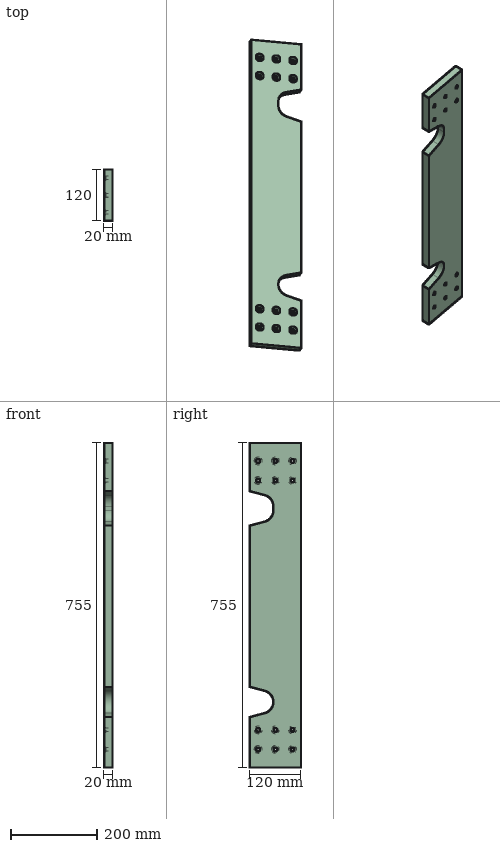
import cadquery as cq
import math

THICKNESS = 20.0
WIDTH = 120.0
LENGTH = 755.0

NOTCH_DEPTH = 55.0
NOTCH_RADIUS = 26.5
NOTCH_END_DISTANCE = 152.5
FLARE_ANGLE = math.radians(15)
UPPER_NOTCH_FLAT = 10.0
LOWER_NOTCH_FLAT = 0.0

HOLE_DIAMETER = 8.0
SINK_DIAMETER = 18.0
SINK_ANGLE = 90
HOLE_PITCH_Y = 40.0
HOLE_PITCH_Z = 45.0
HOLE_END_DISTANCE = 42.0


def notch(center_z, flat):
    """Round-bottomed cutter whose sides flare open towards the -Y edge."""
    edge_y = -WIDTH / 2
    floor_y = edge_y + NOTCH_DEPTH
    arc_y = floor_y - NOTCH_RADIUS
    half_flat = flat / 2
    tangent_y = arc_y + NOTCH_RADIUS * math.sin(FLARE_ANGLE)
    tangent_z = half_flat + NOTCH_RADIUS * math.cos(FLARE_ANGLE)
    mouth_z = tangent_z + (tangent_y - edge_y) * math.tan(FLARE_ANGLE)
    mid_angle = (math.pi / 2 + FLARE_ANGLE) / 2
    mid_y = arc_y + NOTCH_RADIUS * math.sin(mid_angle)
    mid_z = half_flat + NOTCH_RADIUS * math.cos(mid_angle)

    outline = (
        cq.Workplane("YZ", origin=(-THICKNESS / 2, 0, center_z))
        .moveTo(edge_y, -mouth_z)
        .lineTo(tangent_y, -tangent_z)
        .threePointArc((mid_y, -mid_z), (floor_y, -half_flat))
    )
    if flat > 0:
        outline = outline.lineTo(floor_y, half_flat)
    return (
        outline.threePointArc((mid_y, mid_z), (tangent_y, tangent_z))
        .lineTo(edge_y, mouth_z)
        .close()
        .extrude(THICKNESS)
    )


def hole_positions():
    """(Y, Z) centres of the holes at both ends."""
    outer_z = LENGTH / 2 - HOLE_END_DISTANCE
    inner_z = outer_z - HOLE_PITCH_Z
    return [
        (column * HOLE_PITCH_Y, z)
        for column in (-1, 0, 1)
        for z in (-outer_z, -inner_z, inner_z, outer_z)
    ]


plate = cq.Workplane("XY").box(THICKNESS, WIDTH, LENGTH)

notch_z = LENGTH / 2 - NOTCH_END_DISTANCE
plate = plate.cut(notch(notch_z, UPPER_NOTCH_FLAT))
plate = plate.cut(notch(-notch_z, LOWER_NOTCH_FLAT))

result = (
    plate.faces("<X")
    .workplane(origin=(-THICKNESS / 2, 0, 0))
    .pushPoints([(-y, z) for y, z in hole_positions()])
    .cskHole(HOLE_DIAMETER, SINK_DIAMETER, SINK_ANGLE)
)